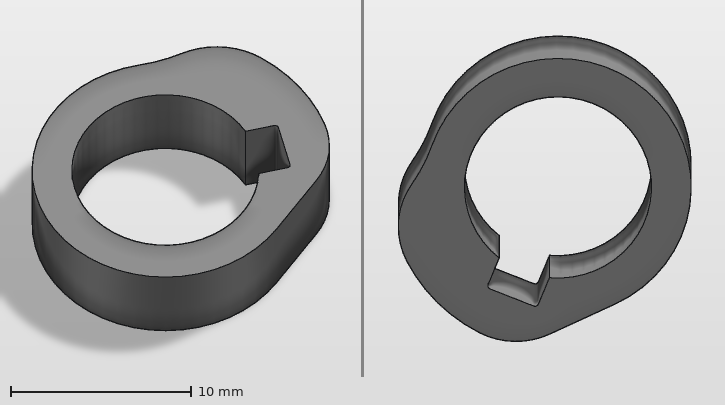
import cadquery as cq
import math

thickness = 5.0
base_diameter = 14.8
overall_length = 16.79
shoulder_radius = 4.35
flank_radius = 9.39
nose_start_angle = 55.0
nose_end_angle = 91.0
bore_diameter = 10.38
key_angle = 49.6
key_width = 3.0
key_depth = 6.8
key_corner_radius = 0.2

base_radius = base_diameter / 2
nose_radius = overall_length - base_radius
shoulder_offset = nose_radius - shoulder_radius


def polar(radius, angle, center=(0, 0)):
    """Point at a radius and an angle in degrees around a center."""
    turn = math.radians(angle)
    return center[0] + radius * math.cos(turn), center[1] + radius * math.sin(turn)


def direction(start, end):
    """Angle in degrees of the line from start to end."""
    return math.degrees(math.atan2(end[1] - start[1], end[0] - start[0]))


def add_arc(outline, center, radius, start_angle, end_angle):
    """Continue an outline along a circular arc."""
    middle = polar(radius, (start_angle + end_angle) / 2, center)
    return outline.threePointArc(middle, polar(radius, end_angle, center))


def make_cam():
    """Cam disc whose arcs and straight flank meet tangentially."""
    right_center = polar(shoulder_offset, nose_start_angle)
    left_center = polar(shoulder_offset, nose_end_angle)

    tangent_turn = math.acos((base_radius - shoulder_radius) / shoulder_offset)
    line_angle = nose_start_angle - math.degrees(tangent_turn)

    base_reach = base_radius + flank_radius
    shoulder_reach = shoulder_radius + flank_radius
    flank_cosine = (base_reach**2 + shoulder_offset**2 - shoulder_reach**2) / (
        2 * base_reach * shoulder_offset
    )
    flank_angle = nose_end_angle + math.degrees(math.acos(flank_cosine))
    flank_center = polar(base_reach, flank_angle)
    left_end_angle = direction(left_center, flank_center)

    outline = cq.Workplane("XY").moveTo(*polar(base_radius, line_angle))
    outline = outline.lineTo(*polar(shoulder_radius, line_angle, right_center))
    outline = add_arc(outline, right_center, shoulder_radius, line_angle, nose_start_angle)
    outline = add_arc(outline, (0, 0), nose_radius, nose_start_angle, nose_end_angle)
    outline = add_arc(outline, left_center, shoulder_radius, nose_end_angle, left_end_angle)
    outline = add_arc(outline, flank_center, flank_radius, left_end_angle - 180, flank_angle - 180)
    outline = add_arc(outline, (0, 0), base_radius, flank_angle, line_angle + 360)
    return outline.close().extrude(thickness)


def make_bore():
    """Through bore."""
    return cq.Workplane("XY").circle(bore_diameter / 2).extrude(thickness)


def make_keyway():
    """Through keyway with rounded floor corners, starting at the bore centre."""
    return (
        cq.Workplane("XY")
        .box(key_depth, key_width, thickness, centered=(False, True, False))
        .edges("|Z and >X")
        .fillet(key_corner_radius)
        .rotate((0, 0, 0), (0, 0, 1), key_angle)
    )


result = make_cam().cut(make_bore()).cut(make_keyway())